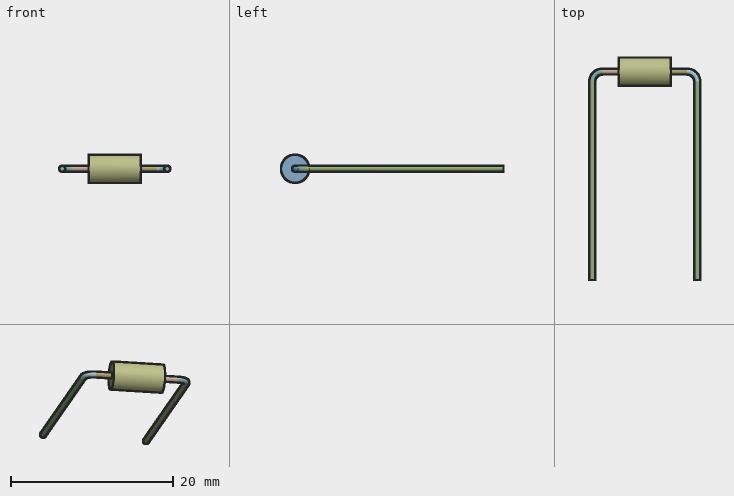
import cadquery as cq

overall_length = 27.5
overall_width = 13.75
housing_diameter = 3.52
housing_length = 6.44
lead_diameter = 0.77
bend_radius = 1.26

housing_radius = housing_diameter / 2
housing_end_x = housing_length / 2
lead_centre_x = (overall_width - lead_diameter) / 2
bend_start_x = lead_centre_x - bend_radius
lead_tip_y = housing_radius - overall_length


def make_housing():
    """Plain cylinder lying along X."""
    return (
        cq.Workplane("YZ", origin=(-housing_end_x, 0, 0))
        .circle(housing_radius)
        .extrude(housing_length)
    )


def make_lead(side):
    """Round wire from one housing end face, bent toward -Y; side is -1 or +1 along X."""
    path = (
        cq.Workplane("XY")
        .moveTo(side * housing_end_x, 0)
        .lineTo(side * bend_start_x, 0)
        .tangentArcPoint((side * lead_centre_x, -bend_radius), relative=False)
        .lineTo(side * lead_centre_x, lead_tip_y)
    )
    return (
        cq.Workplane("YZ", origin=(side * housing_end_x, 0, 0))
        .circle(lead_diameter / 2)
        .sweep(path)
    )


housing = make_housing()
leads = [make_lead(side) for side in (-1, 1)]

result = cq.Compound.makeCompound([housing.val(), *[lead.val() for lead in leads]])